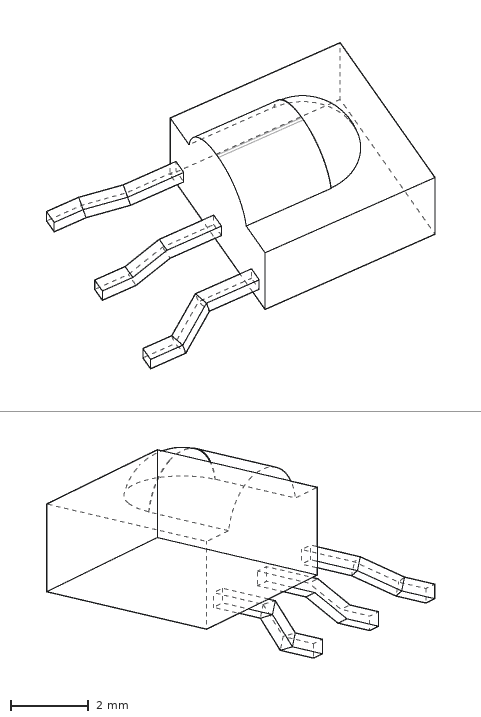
import cadquery as cq

overall_length = 8.5

body_side = 5.0
body_height = 2.4
front_y = -body_side / 2

lens_rise = 1.22
lens_top = body_height + lens_rise
crest_width = 0.085
ridge_radius = 1.49
ball_radius = 1.52
ball_y = 0

lead_width = 0.41
lead_thickness = 0.4
lead_spread = 5.48
root_pitch = 1.99
tip_pitch = (lead_spread - lead_width) / 2
lead_drop = 0.51
tip_z = lead_thickness / 2
root_z = tip_z + lead_drop

upper_bend = 1.555
lower_bend = 2.56
lead_reach = overall_length - body_side


def make_body():
    return cq.Workplane("XY").box(body_side, body_side, body_height, centered=(True, True, False))


def make_ridge():
    """Ridge from the ball centre to the front face, its lower part buried in the body."""
    return (
        cq.Workplane("XZ", origin=(0, ball_y, lens_top - ridge_radius))
        .slot2D(2 * ridge_radius + crest_width, 2 * ridge_radius)
        .extrude(ball_y - front_y)
    )


def make_ball_end():
    """Upper quarter of a ball, behind the ridge."""
    return (
        cq.Workplane("XY")
        .sphere(ball_radius, angle1=0, angle3=180)
        .translate((0, ball_y, lens_top - ball_radius))
    )


def make_lead(side):
    """Lead on the given side: -1 left, 0 middle, 1 right."""
    root_x = side * root_pitch
    tip_x = side * tip_pitch
    path = cq.Workplane("XY").polyline([
        (root_x, front_y, root_z),
        (root_x, front_y - upper_bend, root_z),
        (tip_x, front_y - lower_bend, tip_z),
        (tip_x, front_y - lead_reach, tip_z),
    ])
    profile = cq.Workplane("XZ", origin=(root_x, front_y, root_z)).rect(lead_width, lead_thickness)
    return profile.sweep(path, transition="right")


result = make_body().union(make_ridge()).union(make_ball_end())
for side in (-1, 0, 1):
    result = result.union(make_lead(side))